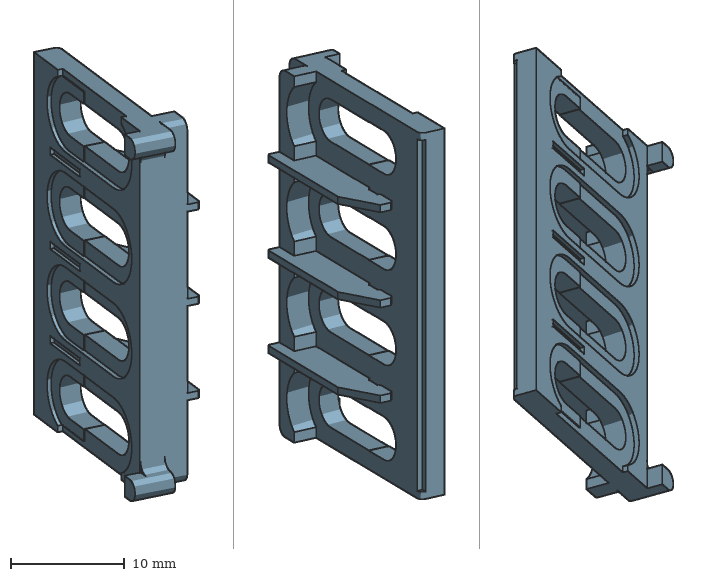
import cadquery as cq
import math

PLATE_WIDTH = 20.0
PLATE_HEIGHT = 34.6
PLATE_THICKNESS = 2.5

SLOT_COUNT = 4
SLOT_PITCH = 9.0
SLOT_CENTER_X = 10.5
ARC_SPACING = 9.0
SLOT_LEFT_INSET = 0.13
SLOT_RADIUS = 2.0
SLOT_LEFT_RADIUS = 2.03
FIRST_SLOT_Z = (PLATE_HEIGHT - (SLOT_COUNT - 1) * SLOT_PITCH) / 2
SLOT_CENTERS_Z = [FIRST_SLOT_Z + i * SLOT_PITCH for i in range(SLOT_COUNT)]
RIGHT_ARC_X = SLOT_CENTER_X + ARC_SPACING / 2

RECESS_RADIUS = 3.5
RECESS_DEPTH = 0.5
RECESS_SHALLOW_DEPTH = 0.4
STEP_X = 8.65
OPENING_WIDTH = 11.95
OPENING_HEIGHT = (
    FIRST_SLOT_Z - math.sqrt(RECESS_RADIUS**2 - ((OPENING_WIDTH - ARC_SPACING) / 2) ** 2)
)

RIB_CENTERS_Z = [z + SLOT_PITCH / 2 for z in SLOT_CENTERS_Z[:-1]]
RIB_THICKNESS = 0.7
RIB_HEIGHT = 3.5
RIB_START_X = 4.5
RIB_TIP_HEIGHT = 1.35
RIB_SLOPE_END_X = 8.15
RIB_FOOT_CHAMFER = 0.3
RIB_CORNER_CHAMFER = 0.2
NOTCH_START_X = 6.6
NOTCH_END_X = 8.5
NOTCH_HEIGHT = 0.25
GROOVE_START_X = 3.05
GROOVE_DEPTH = 0.4

WALL_START_X = 17.5
WALL_HEIGHT = 2.25
WALL_CORNER_RADIUS = 1.0
SCOOP_RADIUS = 3.75

HOOK_SIZE = 2.0
HOOK_REACH = 1.5
GUSSET_RADIUS = 1.0
GUSSET_FRONT_Y = 0.1

REBATE_SIZE = 0.55
REBATE_END_LENGTH = 0.7


def box(x_start, x_end, y_start, y_end, z_start, z_end):
    """Axis-aligned box between the given limits."""
    return cq.Workplane("XY").box(
        x_end - x_start, y_end - y_start, z_end - z_start, centered=False
    ).translate((x_start, y_start, z_start))


def obround(center_z, radius, depth, left_inset=0.0):
    """Obround block on the slot axis, running from y = 0 to y = depth."""
    return (
        cq.Workplane("XZ", origin=(SLOT_CENTER_X + left_inset / 2, 0, center_z))
        .slot2D(ARC_SPACING - left_inset + 2 * radius, 2 * radius)
        .extrude(-depth)
    )


def make_plate():
    """Plate with its back left edge rounded at the ends and rebated between."""
    plate = box(0, PLATE_WIDTH, 0, PLATE_THICKNESS, 0, PLATE_HEIGHT)
    plate = plate.edges("<X and >Y").fillet(REBATE_SIZE)
    rebate = box(
        0, REBATE_SIZE,
        PLATE_THICKNESS - REBATE_SIZE, PLATE_THICKNESS,
        REBATE_END_LENGTH, PLATE_HEIGHT - REBATE_END_LENGTH,
    )
    return plate.cut(rebate)


def make_wall():
    """Wall with rounded outer ends and one cylindrical scoop facing each slot."""
    back_y = PLATE_THICKNESS + WALL_HEIGHT
    wall = box(WALL_START_X, PLATE_WIDTH, PLATE_THICKNESS, back_y, 0, PLATE_HEIGHT)
    wall = wall.edges("|Y and >X").fillet(WALL_CORNER_RADIUS)
    for z in SLOT_CENTERS_Z:
        scoop = (
            cq.Workplane("XZ", origin=(RIGHT_ARC_X, PLATE_THICKNESS, z))
            .circle(SCOOP_RADIUS)
            .extrude(-WALL_HEIGHT)
        )
        wall = wall.cut(scoop)
    return wall


def make_rib(center_z):
    """Upright rib with a sloped nose and a shallow notch under it."""
    base_y = PLATE_THICKNESS
    top_y = base_y + RIB_HEIGHT
    notch_y = base_y + NOTCH_HEIGHT
    return (
        cq.Workplane("XY", origin=(0, 0, center_z - RIB_THICKNESS / 2))
        .moveTo(RIB_START_X + RIB_FOOT_CHAMFER, base_y)
        .lineTo(RIB_START_X, base_y + RIB_FOOT_CHAMFER)
        .lineTo(RIB_START_X, base_y + RIB_TIP_HEIGHT)
        .lineTo(RIB_SLOPE_END_X, top_y)
        .lineTo(PLATE_WIDTH - RIB_CORNER_CHAMFER, top_y)
        .lineTo(PLATE_WIDTH, top_y - RIB_CORNER_CHAMFER)
        .lineTo(PLATE_WIDTH, base_y)
        .lineTo(NOTCH_END_X, base_y)
        .lineTo(NOTCH_END_X - NOTCH_HEIGHT, notch_y)
        .lineTo(NOTCH_START_X + NOTCH_HEIGHT, notch_y)
        .lineTo(NOTCH_START_X, base_y)
        .close()
        .extrude(RIB_THICKNESS)
    )


def make_groove(center_z):
    """Cutter for the front groove in line with a rib."""
    half = RIB_THICKNESS / 2
    return box(GROOVE_START_X, STEP_X, 0, GROOVE_DEPTH, center_z - half, center_z + half)


def right_of_step(center_z, radius, depth):
    """Part of an obround block that lies to the right of STEP_X."""
    right_side = box(STEP_X, PLATE_WIDTH, 0, depth, center_z - radius, center_z + radius)
    return obround(center_z, radius, depth).intersect(right_side)


def left_of_step(center_z, radius, depth, left_inset=0.0):
    """Part of an obround block that lies to the left of STEP_X."""
    left_side = box(0, STEP_X, 0, depth, center_z - radius, center_z + radius)
    return obround(center_z, radius, depth, left_inset).intersect(left_side)


def make_recess(center_z):
    """Cutter for the two-level recess around one slot."""
    shallow = left_of_step(center_z, RECESS_RADIUS, RECESS_SHALLOW_DEPTH)
    deep = right_of_step(center_z, RECESS_RADIUS, RECESS_DEPTH)
    return shallow.union(deep)


def make_slot(center_z):
    """Cutter for one through slot with its slightly wider left part."""
    wide = left_of_step(center_z, SLOT_LEFT_RADIUS, PLATE_THICKNESS, SLOT_LEFT_INSET)
    narrow = right_of_step(center_z, SLOT_RADIUS, PLATE_THICKNESS)
    return wide.union(narrow)


def make_end_opening(z_start):
    """Cutter that opens an outermost recess through the end of the plate."""
    half = OPENING_WIDTH / 2
    return box(
        SLOT_CENTER_X - half, SLOT_CENTER_X + half, 0, RECESS_DEPTH,
        z_start, z_start + OPENING_HEIGHT,
    )


def make_lower_hook():
    """Round-ended hook at the bottom of the right edge, with its gusset."""
    radius = HOOK_SIZE / 2
    hook = (
        cq.Workplane("XZ", origin=(PLATE_WIDTH, -HOOK_REACH, 0))
        .lineTo(HOOK_SIZE - radius, 0)
        .threePointArc((HOOK_SIZE, radius), (HOOK_SIZE - radius, HOOK_SIZE))
        .lineTo(0, HOOK_SIZE)
        .close()
        .extrude(-(HOOK_REACH + PLATE_THICKNESS))
    )
    gusset = (
        cq.Workplane("XZ", origin=(PLATE_WIDTH, GUSSET_FRONT_Y, HOOK_SIZE))
        .lineTo(GUSSET_RADIUS, 0)
        .radiusArc((0, GUSSET_RADIUS), GUSSET_RADIUS)
        .close()
        .extrude(-(PLATE_THICKNESS - GUSSET_FRONT_Y))
    )
    return hook.union(gusset)


result = make_plate().union(make_wall())

for rib_z in RIB_CENTERS_Z:
    result = result.union(make_rib(rib_z)).cut(make_groove(rib_z))

for slot_z in SLOT_CENTERS_Z:
    result = result.cut(make_recess(slot_z))
    result = result.cut(make_slot(slot_z))

for opening_z in (0, PLATE_HEIGHT - OPENING_HEIGHT):
    result = result.cut(make_end_opening(opening_z))

lower_hook = make_lower_hook()
upper_hook = lower_hook.mirror("XY", (0, 0, PLATE_HEIGHT / 2))
result = result.union(lower_hook).union(upper_hook)